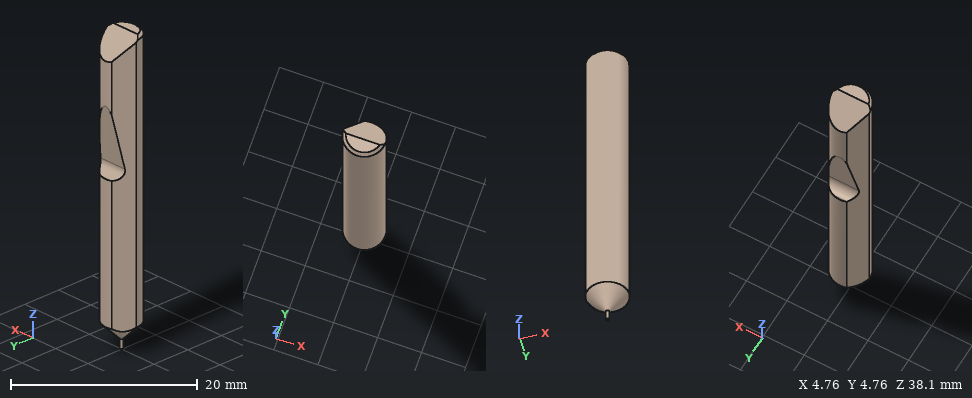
import cadquery as cq
import math

length = 38.1
shank_radius = 2.38
cone_top_z = 3.43
stem_radius = 0.21
tip_chamfer = 0.1
top_chamfer = 0.4

flat_distance = 2.0
flat_normal_angle = 144.0

bevel_edge_y = -0.55

notch_floor_z = 21.1
notch_corner_radius = 1.15
notch_corner_y = 2.2
notch_ramp_angle = 10.0

reach = 2 * shank_radius


def make_body():
    """Shank with a 45 degree cone and a slender chamfered stem at the bottom."""
    stem_top_z = cone_top_z - (shank_radius - stem_radius)
    profile = [
        (0, 0),
        (stem_radius - tip_chamfer, 0),
        (stem_radius, tip_chamfer),
        (stem_radius, stem_top_z),
        (shank_radius, cone_top_z),
        (shank_radius, length - top_chamfer),
        (shank_radius - top_chamfer, length),
        (0, length),
    ]
    return cq.Workplane("XZ").polyline(profile).close().revolve(360, (0, 0), (0, 1))


def make_flat_cutter():
    """Block lying outside the flat, over the full length."""
    block = cq.Workplane("XY").box(reach, 2 * reach, length, centered=(False, True, False))
    return block.translate((flat_distance, 0, 0)).rotate((0, 0, 0), (0, 0, 1), flat_normal_angle)


def make_bevel_cutter():
    """Wedge above the bevel, reaching past the +Y side."""
    return (
        cq.Workplane("YZ")
        .moveTo(bevel_edge_y, length)
        .lineTo(reach, length - (reach - bevel_edge_y))
        .lineTo(reach, length)
        .close()
        .extrude(reach, both=True)
    )


def make_notch_cutter():
    """Notch whose round corner is tangent to both the floor and the ramp."""
    ramp = math.radians(notch_ramp_angle)
    center_z = notch_floor_z + notch_corner_radius

    def corner_point(angle):
        return (
            notch_corner_y + notch_corner_radius * math.cos(angle),
            center_z + notch_corner_radius * math.sin(angle),
        )

    floor_angle = 1.5 * math.pi
    ramp_angle = math.pi - ramp
    ramp_y, ramp_z = corner_point(ramp_angle)
    return (
        cq.Workplane("YZ")
        .moveTo(reach, notch_floor_z)
        .lineTo(*corner_point(floor_angle))
        .threePointArc(corner_point((floor_angle + ramp_angle) / 2), (ramp_y, ramp_z))
        .lineTo(reach, ramp_z + (reach - ramp_y) / math.tan(ramp))
        .close()
        .extrude(reach, both=True)
    )


result = (
    make_body()
    .cut(make_flat_cutter())
    .cut(make_bevel_cutter())
    .cut(make_notch_cutter())
)